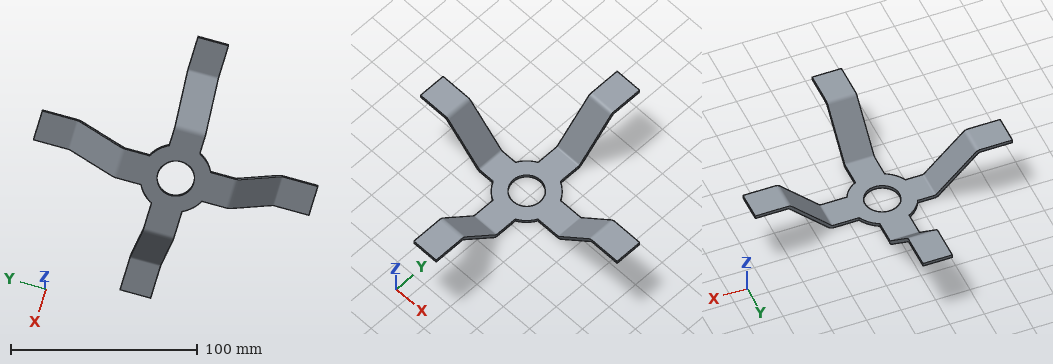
import cadquery as cq
import math

span_x = 149.2
span_y = 153.5
height = 26.7
x_arm_height = 26.4

thickness = 2.0
arm_width = 17.0
hub_radius = 19.0
hole_radius = 10.0
x_arm_shift = 2.6

bend_angle = 45
inner_radius = 2.0
outer_radius = inner_radius + thickness
y_flat_length = 19.2
x_flat_length = 18.5


def bent_arm(tip, flat_length, top, direction):
    """Z-bent strip from the hole edge to its tip, turned to a direction in degrees."""
    sine = math.sin(math.radians(bend_angle))
    cosine = math.cos(math.radians(bend_angle))
    half_sine = math.sin(math.radians(bend_angle / 2))
    half_cosine = math.cos(math.radians(bend_angle / 2))

    upper_x = tip - flat_length
    upper_z = top - outer_radius
    lower_z = outer_radius
    radius_sum = inner_radius + outer_radius
    lower_x = upper_x - (radius_sum + (upper_z - lower_z) * cosine) / sine

    def on_lower_bend(radius, sine_value, cosine_value):
        return (lower_x + radius * sine_value, lower_z - radius * cosine_value)

    def on_upper_bend(radius, sine_value, cosine_value):
        return (upper_x - radius * sine_value, upper_z + radius * cosine_value)

    profile = (
        cq.Workplane("XZ")
        .moveTo(hole_radius, 0)
        .lineTo(lower_x, 0)
        .threePointArc(
            on_lower_bend(outer_radius, half_sine, half_cosine),
            on_lower_bend(outer_radius, sine, cosine),
        )
        .lineTo(*on_upper_bend(inner_radius, sine, cosine))
        .threePointArc(
            on_upper_bend(inner_radius, half_sine, half_cosine),
            (upper_x, top - thickness),
        )
        .lineTo(tip, top - thickness)
        .lineTo(tip, top)
        .lineTo(upper_x, top)
        .threePointArc(
            on_upper_bend(outer_radius, half_sine, half_cosine),
            on_upper_bend(outer_radius, sine, cosine),
        )
        .lineTo(*on_lower_bend(inner_radius, sine, cosine))
        .threePointArc(
            on_lower_bend(inner_radius, half_sine, half_cosine),
            (lower_x, thickness),
        )
        .lineTo(hole_radius, thickness)
        .close()
    )
    arm = profile.extrude(arm_width / 2, both=True)
    return arm.rotate((0, 0, 0), (0, 0, 1), direction)


result = cq.Workplane("XY").circle(hub_radius).extrude(thickness)
for direction in (90, 270):
    result = result.union(bent_arm(span_y / 2, y_flat_length, height, direction))
for direction, shift in ((0, x_arm_shift), (180, -x_arm_shift)):
    result = result.union(bent_arm(span_x / 2 + shift, x_flat_length, x_arm_height, direction))

result = result.cut(cq.Workplane("XY").circle(hole_radius).extrude(thickness))